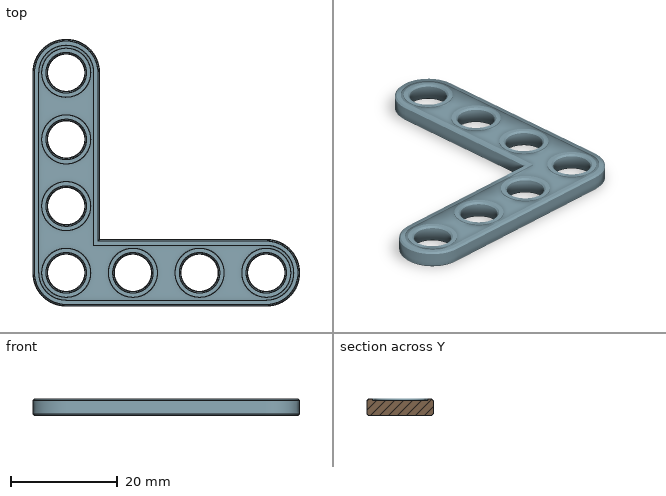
import cadquery as cq

LENGTH = 50.0
THICKNESS = 3.1
HOLES_PER_ARM = 4
PITCH = LENGTH / HOLES_PER_ARM
ARM_WIDTH = PITCH
END_RADIUS = ARM_WIDTH / 2
ARM_SPAN = LENGTH - ARM_WIDTH

EDGE_CHAMFER = 0.3
HOLE_DIAMETER = 7.0
HOLE_CHAMFER = 0.3
BOSS_DIAMETER = 9.2
RIM_WIDTH = 1.1
RECESS_DEPTH = 0.2


def l_outline(half_width, height):
    """L-shaped slab with round ends, lying on z = 0, with the corner hole centre at the origin."""
    diagonal = half_width * 0.5 ** 0.5
    return (
        cq.Workplane("XY")
        .moveTo(0, -half_width)
        .lineTo(ARM_SPAN, -half_width)
        .threePointArc((ARM_SPAN + half_width, 0), (ARM_SPAN, half_width))
        .lineTo(half_width, half_width)
        .lineTo(half_width, ARM_SPAN)
        .threePointArc((0, ARM_SPAN + half_width), (-half_width, ARM_SPAN))
        .lineTo(-half_width, 0)
        .threePointArc((-diagonal, -diagonal), (0, -half_width))
        .close()
        .extrude(height)
    )


def hole_cutter():
    """Through hole on the Z axis, chamfered at both faces."""
    hole_radius = HOLE_DIAMETER / 2
    mouth_radius = hole_radius + HOLE_CHAMFER
    profile = [
        (0, 0),
        (mouth_radius, 0),
        (hole_radius, HOLE_CHAMFER),
        (hole_radius, THICKNESS - HOLE_CHAMFER),
        (mouth_radius, THICKNESS),
        (0, THICKNESS),
    ]
    return cq.Workplane("XZ").polyline(profile).close().revolve(360, (0, 0), (0, 1))


hole_centres = [(i * PITCH, 0) for i in range(HOLES_PER_ARM)]
hole_centres += [(0, i * PITCH) for i in range(1, HOLES_PER_ARM)]

plate = l_outline(END_RADIUS, THICKNESS).faces("<Z or >Z").chamfer(EDGE_CHAMFER)

bosses = cq.Workplane("XY").pushPoints(hole_centres).circle(BOSS_DIAMETER / 2).extrude(RECESS_DEPTH)
recess = l_outline(END_RADIUS - RIM_WIDTH, RECESS_DEPTH).cut(bosses)
plate = plate.cut(recess.translate((0, 0, THICKNESS - RECESS_DEPTH)))

for x, y in hole_centres:
    plate = plate.cut(hole_cutter().translate((x, y, 0)))

result = plate.translate((-ARM_SPAN / 2, -ARM_SPAN / 2, -THICKNESS / 2))